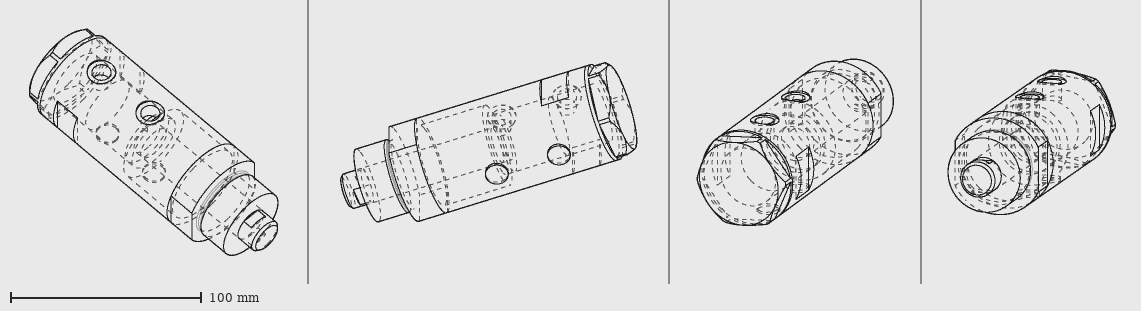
import cadquery as cq
import math


x_axis = ((0, 0, 0), (1, 0, 0))
body_radius = 26.0
bore_radius = 16.0
rod_radius = 9.5

flange_start = 9.0
housing_start = 11.0
cap_spigot_end = 35.0
piston_end = 64.5
gland_spigot_start = 69.5
housing_end = 106.0
gland_shoulder = 121.5
collar_end = 142.2
rod_end = 154.02

hex_across_flats = 46.0
hex_corner_angle = 7.4
cap_chamfer = body_radius - hex_across_flats / 2

port_positions = (30.5, 67.0)
port_radius = 5.0
spotface_radius = 7.5
spotface_height = 24.9
plug_positions = (35.0, 69.7)
plug_radius = 6.0
plug_bottom = -27.1
flat_start = 21.0
flat_length = 15.0

flat_distance = 23.0

gland_spigot_radius = 22.0
collar_radius = 20.0
relief_width = 3.7
relief_depth = 1.1
relief_fillet = 0.8

rod_chamfer = 1.5
rod_flat_distance = 8.0
rod_flat_end = 148.0


def cylinder_x(start, end, radius):
    """Cylinder around the X axis between two stations."""
    return cq.Workplane("YZ").workplane(offset=start).circle(radius).extrude(end - start)


def cylinder_z(x, bottom, top, radius):
    """Upright cylinder centred at the given X station."""
    return cq.Workplane("XY").workplane(offset=bottom).center(x, 0).circle(radius).extrude(top - bottom)


def side_flat_cutters(start, end, distance):
    """Pair of blocks that cut flats at the given distance on the +Y and -Y sides."""
    cutters = cq.Workplane("XY")
    for side in (-1, 1):
        block = cq.Workplane("XY").box(end - start, body_radius, 2 * body_radius)
        centre_y = side * (distance + body_radius / 2)
        cutters = cutters.add(block.translate(((start + end) / 2, centre_y, 0)))
    return cutters.combine()


def make_cap():
    hex_corner_diameter = hex_across_flats / math.cos(math.pi / 6)
    hexagon = (
        cq.Workplane("YZ")
        .polygon(6, hex_corner_diameter)
        .extrude(flange_start)
        .rotate(*x_axis, -hex_corner_angle)
    )
    blank = cylinder_x(0, flange_start, body_radius).faces("<X").chamfer(cap_chamfer)
    flange = cylinder_x(flange_start, housing_start, body_radius)
    spigot = cylinder_x(housing_start, cap_spigot_end, bore_radius)
    return hexagon.intersect(blank).union(flange).union(spigot)


def make_housing():
    housing = cylinder_x(housing_start, housing_end, body_radius)
    for x in plug_positions:
        housing = housing.union(cylinder_z(x, plug_bottom, -bore_radius, plug_radius))
    housing = housing.cut(side_flat_cutters(flat_start, flat_start + flat_length, flat_distance))
    housing = housing.cut(cylinder_x(housing_start, gland_spigot_start, bore_radius))
    housing = housing.cut(cylinder_x(gland_spigot_start, housing_end, gland_spigot_radius))
    for x in port_positions:
        housing = housing.cut(cylinder_z(x, 0, body_radius, port_radius))
        housing = housing.cut(cylinder_z(x, spotface_height, body_radius, spotface_radius))
    return housing


def make_neck_and_collar():
    """Collar with a relief groove: rounded against the head, rising at 45 degrees to the collar."""
    groove_radius = collar_radius - relief_depth
    arc_centre_radius = groove_radius + relief_fillet
    diagonal = relief_fillet * math.sin(math.pi / 4)
    entry_end = gland_shoulder + relief_fillet
    slope_end = gland_shoulder + relief_width
    slope_foot_radius = arc_centre_radius - diagonal
    slope_start = slope_end - (collar_radius - slope_foot_radius)
    exit_start = slope_start - diagonal
    return (
        cq.Workplane("XY")
        .moveTo(gland_shoulder, 0)
        .lineTo(gland_shoulder, arc_centre_radius)
        .threePointArc((entry_end - diagonal, slope_foot_radius), (entry_end, groove_radius))
        .lineTo(exit_start, groove_radius)
        .tangentArcPoint((slope_start, slope_foot_radius), relative=False)
        .lineTo(slope_end, collar_radius)
        .lineTo(collar_end, collar_radius)
        .lineTo(collar_end, 0)
        .close()
        .revolve(360, *x_axis)
    )


def make_gland():
    spigot = cylinder_x(gland_spigot_start, housing_end, gland_spigot_radius)
    head = cylinder_x(housing_end, gland_shoulder, body_radius)
    head = head.cut(side_flat_cutters(housing_end, gland_shoulder, flat_distance))
    rod_bore = cylinder_x(gland_spigot_start, collar_end, rod_radius)
    return spigot.union(head).union(make_neck_and_collar()).cut(rod_bore)


def make_piston_rod():
    piston = cylinder_x(cap_spigot_end, piston_end, bore_radius)
    rod = cylinder_x(piston_end, rod_end, rod_radius).faces(">X").edges().chamfer(rod_chamfer)
    flats = side_flat_cutters(collar_end, rod_flat_end, rod_flat_distance)
    flats = flats.rotate(*x_axis, 90)
    return piston.union(rod.cut(flats))


cap = make_cap()
housing = make_housing()
gland = make_gland()
piston_rod = make_piston_rod()

result = cq.Compound.makeCompound([cap.val(), housing.val(), gland.val(), piston_rod.val()])